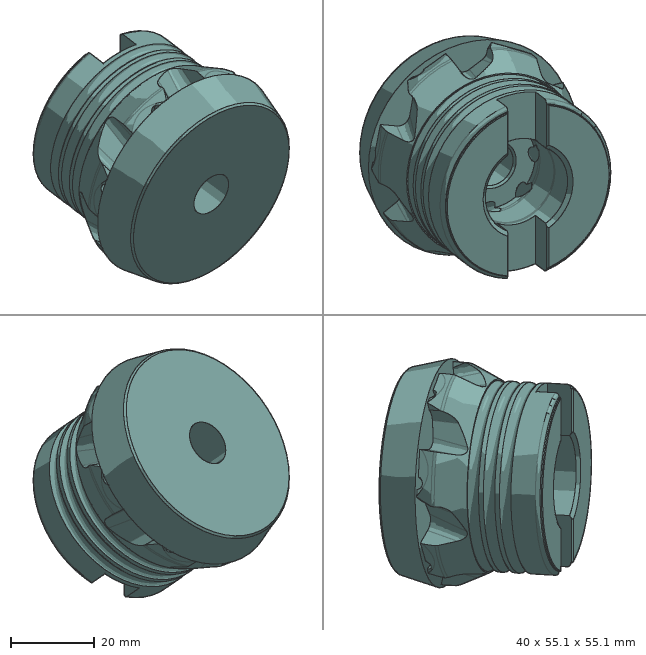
import cadquery as cq
import math

LENGTH = 40.0

SHANK_RADIUS = 46.0 / 2
NOSE_ROUND_RADIUS = 0.95
NOSE_STEP_LENGTH = 0.55
NOSE_CHAMFER = 0.2
GROOVE_COUNT = 3
GROOVE_RADIUS = 3.0 / 2
GROOVE_PITCH = 4.0
GROOVE_FLOOR_RADIUS = 21.95
FIRST_GROOVE_X = 9.0

SHOULDER_START_X = 18.4
SHOULDER_START_RADIUS = 23.3
SHOULDER_END_X = 25.65
SHOULDER_BEVEL_LENGTH = 0.7
LAND_BEVEL_DROP = 0.15
LAND_RADIUS = 26.85

FLANGE_X = 30.15
FLANGE_RADIUS = 27.55
FLANGE_BACK_RADIUS = 25.15
FLANGE_EDGE_CHAMFER = 0.5
FLANGE_CORE_RADIUS = 19.85

BORE_RADIUS = 22.0 / 2
BORE_ENTRY_RADIUS = 22.15 / 2
BORE_RELIEF_RADIUS = 22.3 / 2
BORE_CHAMFER_RADIUS = 12.15
BORE_CHAMFER_LENGTH = 0.8
BORE_ENTRY_DEPTH = 7.5
BORE_STEP_LENGTH = 0.35
BORE_RELIEF_X = 15.15
BORE_RELIEF_CHAMFER = 1.1
BORE_DEPTH = 18.0
THROUGH_RADIUS = 11.0 / 2
THROUGH_CHAMFER = 0.55

SLOT_WIDTH = 10.4
SLOT_DEPTH = 6.3
SLOT_EDGE_CHAMFER = 0.4

FLUTE_COUNT = 7

FLUTE_WIDTH = 9.75
FLUTE_HEIGHT = 11.05
FLUTE_LENGTH = 22.05
FLUTE_FRONT_CORNER_RADIUS = 1.9
FLUTE_BACK_CORNER_RADIUS = 3.3
FLUTE_TILT = 14.0
FLUTE_ROLL = 26.0
FLUTE_CORNER_Y = 4.45
FLUTE_CORNER_Z = 20.55

FACET_START_X = 27.3
FACET_ANGLE = 26.2
FACET_SIZE = 16.55

CORNER_RELIEF_X = 26.2
CORNER_RELIEF_OFFSET = 3.25
CORNER_RELIEF_Z = 26.65
CORNER_RELIEF_SLANT = 27.5
CORNER_RELIEF_LEAN = 39.0
CORNER_RELIEF_LENGTH = 16.55
CORNER_RELIEF_WIDTH = 3.3
CORNER_RELIEF_HEIGHT = 4.4

HOLE_RADIUS = 3.0 / 2
HOLE_OVERRUN = 3.3
HOLE_INNER_ANGLE = 15.0
HOLE_INNER_RADIUS = 11.3
HOLE_OUTER_ANGLE = -19.0
HOLE_OUTER_RADIUS = 26.25


def around_axis(shape, angle):
    return shape.rotate((0, 0, 0), (1, 0, 0), angle)


def turned(outline):
    """Solid of revolution about X of a closed (x, radius) outline."""
    return outline.close().revolve(360, (0, 0, 0), (1, 0, 0))


def make_body():
    nose_radius = SHANK_RADIUS - NOSE_ROUND_RADIUS
    groove_centre_radius = GROOVE_FLOOR_RADIUS + GROOVE_RADIUS
    half_width = math.sqrt(GROOVE_RADIUS**2 - (groove_centre_radius - SHANK_RADIUS) ** 2)
    outline = (
        cq.Workplane("XY")
        .lineTo(0, nose_radius - NOSE_CHAMFER)
        .lineTo(NOSE_CHAMFER, nose_radius)
        .lineTo(NOSE_STEP_LENGTH, nose_radius)
        .radiusArc((NOSE_STEP_LENGTH + NOSE_ROUND_RADIUS, SHANK_RADIUS), NOSE_ROUND_RADIUS)
    )
    for i in range(GROOVE_COUNT):
        x = FIRST_GROOVE_X + i * GROOVE_PITCH
        outline = outline.lineTo(x - half_width, SHANK_RADIUS).threePointArc(
            (x, GROOVE_FLOOR_RADIUS), (x + half_width, SHANK_RADIUS)
        )
    outline = (
        outline.lineTo(SHOULDER_START_X, SHANK_RADIUS)
        .lineTo(SHOULDER_START_X, SHOULDER_START_RADIUS)
        .lineTo(SHOULDER_END_X, LAND_RADIUS - LAND_BEVEL_DROP)
        .lineTo(SHOULDER_END_X + SHOULDER_BEVEL_LENGTH, LAND_RADIUS)
        .lineTo(FLANGE_X, LAND_RADIUS)
        .lineTo(FLANGE_X, 0)
    )
    return turned(outline)


def make_flange():
    dish = (FLANGE_RADIUS - FLANGE_CORE_RADIUS) * math.tan(math.radians(FLUTE_TILT))
    outline = (
        cq.Workplane("XY")
        .moveTo(FLANGE_X - dish, 0)
        .lineTo(FLANGE_X - dish, FLANGE_CORE_RADIUS)
        .lineTo(FLANGE_X, FLANGE_RADIUS)
        .lineTo(LENGTH - FLANGE_EDGE_CHAMFER, FLANGE_BACK_RADIUS)
        .lineTo(LENGTH, FLANGE_BACK_RADIUS - FLANGE_EDGE_CHAMFER)
        .lineTo(LENGTH, 0)
    )
    return turned(outline)


def flute_section(x, corner_radius):
    """Rectangle across X with its two bottom corners rounded."""
    return (
        cq.Sketch()
        .push([(-FLUTE_WIDTH / 2, FLUTE_HEIGHT / 2)])
        .rect(FLUTE_WIDTH, FLUTE_HEIGHT)
        .reset()
        .vertices("<Y")
        .fillet(corner_radius)
        .moved(cq.Location(cq.Vector(0, 0, x)))
    )


def make_flute():
    """Slot whose corner rounds widen as it sinks towards the flange and slants sideways."""
    front = flute_section(-FLUTE_LENGTH / 2, FLUTE_FRONT_CORNER_RADIUS)
    back = flute_section(FLUTE_LENGTH / 2, FLUTE_BACK_CORNER_RADIUS)
    return (
        cq.Workplane("YZ")
        .placeSketch(front, back)
        .loft(ruled=True)
        .rotate((0, 0, 0), (1, 0, 0), -FLUTE_ROLL)
        .rotate((0, 0, 0), (0, 0, 1), -FLUTE_TILT)
        .rotate((0, 0, 0), (0, 1, 0), FLUTE_TILT)
        .translate((SHOULDER_END_X, FLUTE_CORNER_Y, FLUTE_CORNER_Z))
    )


def make_corner_relief():
    """Block whose side slopes off the land corner beside the flute."""
    return (
        cq.Workplane("XY")
        .box(CORNER_RELIEF_LENGTH, CORNER_RELIEF_WIDTH, CORNER_RELIEF_HEIGHT, centered=(False, False, True))
        .rotate((0, 0, 0), (0, 0, 1), -CORNER_RELIEF_SLANT)
        .rotate((0, 0, 0), (1, 0, 0), CORNER_RELIEF_LEAN)
        .translate((CORNER_RELIEF_X, -CORNER_RELIEF_OFFSET, CORNER_RELIEF_Z))
    )


def make_facet():
    """Block whose underside is the sloping flat on a land next to the flange."""
    block = (
        cq.Workplane("XY")
        .box(FACET_SIZE, FACET_SIZE, FACET_SIZE, centered=(False, True, False))
        .rotate((0, 0, 0), (0, 1, 0), FLUTE_TILT)
        .translate((FACET_START_X, 0, LAND_RADIUS))
    )
    return around_axis(block, -FACET_ANGLE)


def point_at(x, radius, angle):
    """Point at an angle from +Z towards +Y."""
    a = math.radians(angle)
    return cq.Vector(x, radius * math.sin(a), radius * math.cos(a))


def make_coolant_hole():
    start = point_at(BORE_DEPTH, HOLE_INNER_RADIUS, HOLE_INNER_ANGLE)
    end = point_at(FLANGE_X, HOLE_OUTER_RADIUS, HOLE_OUTER_ANGLE)
    axis = end - start
    overrun = axis.normalized() * HOLE_OVERRUN
    length = axis.Length + 2 * HOLE_OVERRUN
    return cq.Workplane(cq.Solid.makeCylinder(HOLE_RADIUS, length, start - overrun, axis))


def make_bore():
    outline = (
        cq.Workplane("XY")
        .lineTo(0, BORE_CHAMFER_RADIUS)
        .lineTo(BORE_CHAMFER_LENGTH, BORE_ENTRY_RADIUS)
        .lineTo(BORE_ENTRY_DEPTH, BORE_ENTRY_RADIUS)
        .lineTo(BORE_ENTRY_DEPTH + BORE_STEP_LENGTH, BORE_RADIUS)
        .lineTo(BORE_RELIEF_X, BORE_RADIUS)
        .lineTo(BORE_RELIEF_X + BORE_RELIEF_CHAMFER, BORE_RELIEF_RADIUS)
        .lineTo(BORE_DEPTH, BORE_RELIEF_RADIUS)
        .lineTo(BORE_DEPTH, THROUGH_RADIUS + THROUGH_CHAMFER)
        .lineTo(BORE_DEPTH + THROUGH_CHAMFER, THROUGH_RADIUS)
        .lineTo(LENGTH, THROUGH_RADIUS)
        .lineTo(LENGTH, 0)
    )
    return turned(outline)


def make_slot():
    half = SLOT_WIDTH / 2
    return (
        cq.Workplane("XY")
        .moveTo(0, -half - SLOT_EDGE_CHAMFER)
        .lineTo(SLOT_EDGE_CHAMFER, -half)
        .lineTo(SLOT_DEPTH, -half)
        .lineTo(SLOT_DEPTH, half)
        .lineTo(SLOT_EDGE_CHAMFER, half)
        .lineTo(0, half + SLOT_EDGE_CHAMFER)
        .close()
        .extrude(SHANK_RADIUS, both=True)
    )


body = make_body()
flute = make_flute()
facet = make_facet()
corner_relief = make_corner_relief()
coolant_hole = make_coolant_hole()
for i in range(FLUTE_COUNT):
    turn = i * 360 / FLUTE_COUNT
    for cutter in (flute, facet, corner_relief, coolant_hole):
        body = body.cut(around_axis(cutter, turn))

result = body.union(make_flange()).cut(make_bore()).cut(make_slot())